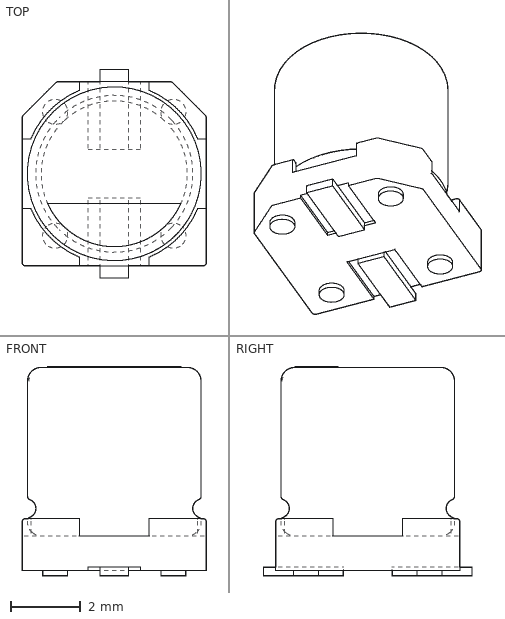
import cadquery as cq
import math

BASE_SIDE = 5.3
BASE_BOTTOM = 0.15
BASE_TOP = 1.65
CORNER_CUT = 1.0
BASE_ROUND = 0.1

SEAT_RADIUS = 2.6
SEAT_FLOOR = 1.15
NOTCH_WIDTH = 2.0

CAN_RADIUS = 2.5
CAN_TOP = 6.0
CAN_END_ROUND = 0.4
BEAD_HEIGHT = 1.94
BEAD_RADIUS = 0.27
BEAD_CENTER_RADIUS = 2.53
BEAD_LIP_ROUND = 0.1

MARK_THICKNESS = 0.02
MARK_EDGE_Y = -0.85

LEAD_WIDTH = 0.82
LEAD_THICKNESS = 0.25
LEAD_INNER_Y = 0.7
LEAD_OUTER_Y = 3.0
CHANNEL_WIDTH = 1.5
FOOT_DIAMETER = 0.72
FOOT_X = 1.7
FOOT_Y = 1.78


def make_base():
    """Square plate with two cut +Y corners, rounded edges and a notched round seat."""
    height = BASE_TOP - BASE_BOTTOM
    plate = cq.Workplane("XY").workplane(offset=BASE_BOTTOM)
    plate = plate.rect(BASE_SIDE, BASE_SIDE).extrude(height)
    plate = plate.edges("|Z and >Y").chamfer(CORNER_CUT)
    plate = plate.edges("|Z").fillet(BASE_ROUND)
    plate = plate.faces(">Z").edges().fillet(BASE_ROUND)

    seat_plane = cq.Workplane("XY").workplane(offset=SEAT_FLOOR)
    seat_depth = BASE_TOP - SEAT_FLOOR
    seat = seat_plane.circle(SEAT_RADIUS).extrude(seat_depth)
    notch_x = seat_plane.rect(BASE_SIDE, NOTCH_WIDTH).extrude(seat_depth)
    notch_y = seat_plane.rect(NOTCH_WIDTH, BASE_SIDE).extrude(seat_depth)

    channel_depth = LEAD_THICKNESS - BASE_BOTTOM
    channel_length = BASE_SIDE / 2 - LEAD_INNER_Y
    channel_y = LEAD_INNER_Y + channel_length / 2
    channels = cq.Workplane("XY").workplane(offset=BASE_BOTTOM)
    channels = channels.pushPoints([(0, -channel_y), (0, channel_y)])
    channels = channels.rect(CHANNEL_WIDTH, channel_length).extrude(channel_depth)
    return plate.cut(seat).cut(notch_x).cut(notch_y).cut(channels)


def make_can():
    """Can revolved about Z, with rounded ends and a crimped bead with rounded lips."""
    lip_radius = CAN_RADIUS - BEAD_LIP_ROUND
    center_distance = BEAD_RADIUS + BEAD_LIP_ROUND
    lip_offset_r = BEAD_CENTER_RADIUS - lip_radius
    lip_offset_z = math.sqrt(center_distance**2 - lip_offset_r**2)
    share = BEAD_RADIUS / center_distance
    tangent_r = BEAD_CENTER_RADIUS - share * lip_offset_r
    tangent_z = share * lip_offset_z

    lip_angle = math.atan2(lip_offset_z, lip_offset_r) / 2
    lip_mid_r = lip_radius + BEAD_LIP_ROUND * math.cos(lip_angle)
    lip_mid_z = lip_offset_z - BEAD_LIP_ROUND * math.sin(lip_angle)

    end_radius = CAN_RADIUS - CAN_END_ROUND
    end_mid = CAN_END_ROUND * math.sqrt(0.5)
    end_mid_r = end_radius + end_mid
    top_round_start = CAN_TOP - CAN_END_ROUND
    bottom_round_end = SEAT_FLOOR + CAN_END_ROUND

    profile = (
        cq.Workplane("XZ")
        .moveTo(0, SEAT_FLOOR)
        .lineTo(end_radius, SEAT_FLOOR)
        .threePointArc((end_mid_r, bottom_round_end - end_mid), (CAN_RADIUS, bottom_round_end))
        .lineTo(CAN_RADIUS, BEAD_HEIGHT - lip_offset_z)
        .threePointArc((lip_mid_r, BEAD_HEIGHT - lip_mid_z), (tangent_r, BEAD_HEIGHT - tangent_z))
        .threePointArc(
            (BEAD_CENTER_RADIUS - BEAD_RADIUS, BEAD_HEIGHT),
            (tangent_r, BEAD_HEIGHT + tangent_z),
        )
        .threePointArc((lip_mid_r, BEAD_HEIGHT + lip_mid_z), (CAN_RADIUS, BEAD_HEIGHT + lip_offset_z))
        .lineTo(CAN_RADIUS, top_round_start)
        .threePointArc((end_mid_r, top_round_start + end_mid), (end_radius, CAN_TOP))
        .lineTo(0, CAN_TOP)
        .close()
    )
    return profile.revolve(360, (0, 0), (0, 1))


def make_mark():
    """Circle segment on the -Y side of the flat top of the can."""
    radius = CAN_RADIUS - CAN_END_ROUND
    half_chord = math.sqrt(radius**2 - MARK_EDGE_Y**2)
    return (
        cq.Workplane("XY")
        .workplane(offset=CAN_TOP)
        .moveTo(-half_chord, MARK_EDGE_Y)
        .threePointArc((0, -radius), (half_chord, MARK_EDGE_Y))
        .close()
        .extrude(MARK_THICKNESS)
    )


def make_leads():
    """Two flat leads under the base, pointing out along +Y and -Y."""
    length = LEAD_OUTER_Y - LEAD_INNER_Y
    center_y = (LEAD_OUTER_Y + LEAD_INNER_Y) / 2
    return (
        cq.Workplane("XY")
        .pushPoints([(0, -center_y), (0, center_y)])
        .rect(LEAD_WIDTH, length)
        .extrude(LEAD_THICKNESS)
    )


def make_feet():
    """Four round standoff feet under the base corners."""
    return (
        cq.Workplane("XY")
        .rect(2 * FOOT_X, 2 * FOOT_Y, forConstruction=True)
        .vertices()
        .circle(FOOT_DIAMETER / 2)
        .extrude(BASE_BOTTOM)
    )


result = make_base()
for feature in (make_can(), make_mark(), make_leads(), make_feet()):
    result = result.union(feature)